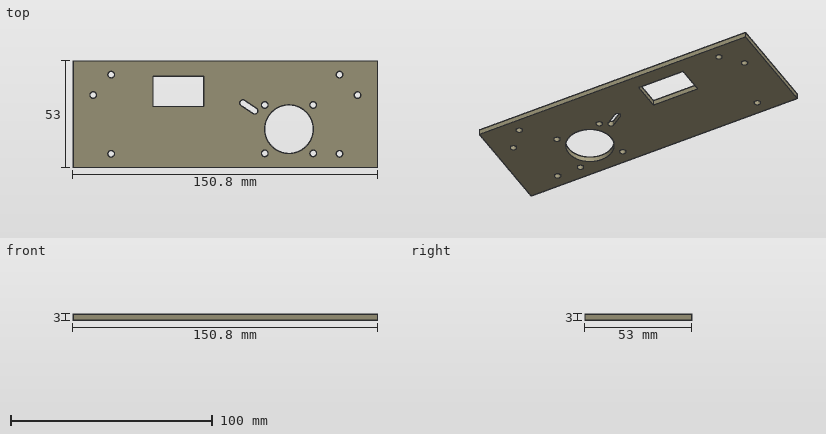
import cadquery as cq
import math

LENGTH = 150.8
WIDTH = 53.0
THICKNESS = 3.0

SMALL_HOLE_DIAMETER = 3.2
CORNER_HOLE_X = 56.5
CORNER_HOLE_Y = 19.6
END_HOLE_X = 65.5
END_HOLE_Y = 9.5

OPENING_DIAMETER = 24.0
OPENING_X = 31.5
OPENING_Y = -7.4
OPENING_HOLE_SPACING = OPENING_DIAMETER

WINDOW_LENGTH = 25.0
WINDOW_WIDTH = 15.0
WINDOW_X = -23.2
WINDOW_Y = 11.3

SLOT_X = 11.6
SLOT_Y = 3.6
SLOT_WIDTH = 3.0
SLOT_RUN = 5.9
SLOT_DROP = 3.9
SLOT_LENGTH = math.hypot(SLOT_RUN, SLOT_DROP) + SLOT_WIDTH
SLOT_ANGLE = -math.degrees(math.atan2(SLOT_DROP, SLOT_RUN))


def through_holes(points, diameter):
    """Cylinders that cut the full plate thickness at the given points."""
    return cq.Workplane("XY").pushPoints(points).circle(diameter / 2).extrude(THICKNESS)


def window():
    """Rectangular cutter for the window."""
    return (
        cq.Workplane("XY")
        .center(WINDOW_X, WINDOW_Y)
        .rect(WINDOW_LENGTH, WINDOW_WIDTH)
        .extrude(THICKNESS)
    )


def slanted_slot():
    """Round-ended cutter for the slanted slot."""
    return (
        cq.Workplane("XY")
        .center(SLOT_X, SLOT_Y)
        .slot2D(SLOT_LENGTH, SLOT_WIDTH, SLOT_ANGLE)
        .extrude(THICKNESS)
    )


mounting_points = []
for side in (-1, 1):
    mounting_points.append((side * END_HOLE_X, END_HOLE_Y))
    for end in (-1, 1):
        mounting_points.append((side * CORNER_HOLE_X, end * CORNER_HOLE_Y))

half_spacing = OPENING_HOLE_SPACING / 2
opening_hole_points = [
    (OPENING_X + i * half_spacing, OPENING_Y + j * half_spacing)
    for i in (-1, 1)
    for j in (-1, 1)
]

plate = cq.Workplane("XY").rect(LENGTH, WIDTH).extrude(THICKNESS)
result = (
    plate.cut(through_holes(mounting_points + opening_hole_points, SMALL_HOLE_DIAMETER))
    .cut(through_holes([(OPENING_X, OPENING_Y)], OPENING_DIAMETER))
    .cut(window())
    .cut(slanted_slot())
)